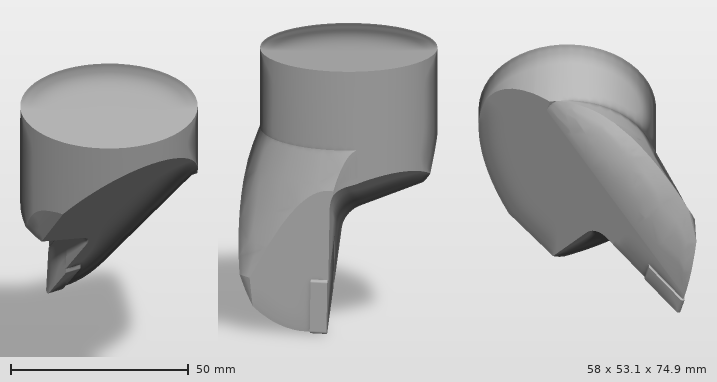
import cadquery as cq
import math

SHANK_RADIUS = 25.0
PART_HEIGHT = 74.9
FAR = 149.8

FLARE_START = 23.1
FLARE_END = 59.9
FLARE_ANGLE = math.radians(20)
HEAD_RADIUS = SHANK_RADIUS + (FLARE_END - FLARE_START) * math.tan(FLARE_ANGLE)

UNDERSIDE_ANGLE = math.radians(49.7)
UNDERSIDE_TOP = -6.6
SIDE_ANGLE = math.radians(5)
SIDE_X = -26.0

LOFT_TOP = 15.0
LOFT_BOTTOM = 97.4
BACK_START_TOP = 20.2
BACK_START_BOTTOM = 4.5
BACK_RADIUS_TOP = 5.4
BACK_RADIUS_BOTTOM = 34.1
FRONT_ROUND = ((-20.6, 0), (-23.0, 4.2), (-24.1, 7.65))
FRONT_SCALE_TOP = 1.1
FRONT_SCALE_BOTTOM = 0.93

RELIEF_TILT = 30
RELIEF_FACE_Y = -0.2
SHOULDER_ANGLE = math.radians(25.5)
SHOULDER_HEIGHT = -43.75
SHOULDER_FILLET = 7.9

BLEND_POINTS = ((-23.9, -7.3), (-26.1, -3.7), (-29.2, -1.05))

INSERT_SIDE = 16.4
INSERT_THICKNESS = 4.8
NOSE_RADIUS = 0.75
OBTUSE_RADIUS = 0.6
NOSE_CENTER = (-32.2, NOSE_RADIUS - PART_HEIGHT)


def make_shank():
    return cq.Workplane("XY").circle(SHANK_RADIUS).extrude(-PART_HEIGHT)


def make_head():
    flare = (
        cq.Workplane("XZ")
        .moveTo(0, -FLARE_START)
        .lineTo(SHANK_RADIUS, -FLARE_START)
        .lineTo(HEAD_RADIUS, -FLARE_END)
        .lineTo(HEAD_RADIUS, -PART_HEIGHT)
        .lineTo(0, -PART_HEIGHT)
        .close()
        .revolve(360, (0, 0, 0), (0, 1, 0))
    )
    shank_contact, blend_middle, outer_point = BLEND_POINTS
    front_region = (
        cq.Workplane("XY")
        .moveTo(*shank_contact)
        .threePointArc(blend_middle, outer_point)
        .lineTo(-FAR, outer_point[1])
        .lineTo(-FAR, -FAR)
        .lineTo(FAR, -FAR)
        .lineTo(FAR, 0)
        .lineTo(0, 0)
        .close()
        .extrude(-FAR)
    )
    return flare.cut(front_region)


def add_underside_profile(workplane, back_start, back_radius, front_scale):
    """Rounded profile with local x along +Y and local y up into the part."""
    back_y = back_start + back_radius
    diagonal = back_radius * math.sqrt(0.5)
    start, middle, end = [(y * front_scale, height * front_scale) for y, height in FRONT_ROUND]
    return (
        workplane.moveTo(*start)
        .lineTo(back_start, 0)
        .threePointArc((back_start + diagonal, back_radius - diagonal), (back_y, back_radius))
        .lineTo(back_y, FAR)
        .lineTo(end[0], FAR)
        .lineTo(*end)
        .threePointArc(middle, start)
        .close()
    )


def make_underside_envelope():
    """Flat underside with tapering rounded borders, lofted up the slope."""
    slope = (math.cos(UNDERSIDE_ANGLE), 0, math.sin(UNDERSIDE_ANGLE))
    plane = cq.Plane(origin=(SHANK_RADIUS, 0, UNDERSIDE_TOP), xDir=(0, 1, 0), normal=slope)
    lower_end = cq.Workplane(plane).workplane(offset=-LOFT_BOTTOM)
    lower_profile = add_underside_profile(
        lower_end, BACK_START_BOTTOM, BACK_RADIUS_BOTTOM, FRONT_SCALE_BOTTOM
    )
    upper_end = lower_profile.workplane(offset=LOFT_BOTTOM - LOFT_TOP)
    upper_profile = add_underside_profile(
        upper_end, BACK_START_TOP, BACK_RADIUS_TOP, FRONT_SCALE_TOP
    )
    return upper_profile.loft(ruled=True)


def make_shank_top():
    """Part of the shank above the flare, where the underside has no rounded border."""
    flare_x = SHANK_RADIUS - (FLARE_START + UNDERSIDE_TOP) / math.tan(UNDERSIDE_ANGLE)
    section = (
        cq.Workplane("XZ")
        .polyline([
            (-SHANK_RADIUS, 0),
            (SHANK_RADIUS, 0),
            (SHANK_RADIUS, UNDERSIDE_TOP),
            (flare_x, -FLARE_START),
            (-SHANK_RADIUS, -FLARE_START),
        ])
        .close()
        .extrude(FAR, both=True)
    )
    return make_shank().intersect(section)


def make_side_cut():
    bottom_x = SIDE_X - FAR * math.tan(SIDE_ANGLE)
    return (
        cq.Workplane("XZ")
        .polyline([(SIDE_X, 0), (bottom_x, -FAR), (-FAR, -FAR), (-FAR, 0)])
        .close()
        .extrude(FAR, both=True)
    )


def make_front_relief():
    """Shoulder, fillet and flat face swept along the tilted X direction."""
    rise = (FAR + RELIEF_FACE_Y) * math.tan(SHOULDER_ANGLE)
    relief = (
        cq.Workplane("YZ")
        .polyline([
            (RELIEF_FACE_Y, -FAR),
            (RELIEF_FACE_Y, SHOULDER_HEIGHT),
            (-FAR, SHOULDER_HEIGHT + rise),
            (-FAR, -FAR),
        ])
        .close()
        .extrude(FAR, both=True)
        .edges(cq.selectors.NearestToPointSelector((0, RELIEF_FACE_Y, SHOULDER_HEIGHT)))
        .fillet(SHOULDER_FILLET)
    )
    return relief.rotate((0, 0, 0), (0, 1, 0), RELIEF_TILT)


def make_insert(front_y, back_y):
    side = (math.sin(SIDE_ANGLE), math.cos(SIDE_ANGLE))
    bottom = (math.cos(UNDERSIDE_ANGLE), math.sin(UNDERSIDE_ANGLE))
    half_nose_angle = (math.pi / 2 - SIDE_ANGLE - UNDERSIDE_ANGLE) / 2
    bisector = SIDE_ANGLE + half_nose_angle
    tip_distance = NOSE_RADIUS / math.sin(half_nose_angle)
    tip_x = NOSE_CENTER[0] - tip_distance * math.sin(bisector)
    tip_z = NOSE_CENTER[1] - tip_distance * math.cos(bisector)

    def corner(along_side, along_bottom):
        x = tip_x + INSERT_SIDE * (along_side * side[0] + along_bottom * bottom[0])
        z = tip_z + INSERT_SIDE * (along_side * side[1] + along_bottom * bottom[1])
        return x, z

    corners = [corner(0, 0), corner(0, 1), corner(1, 1), corner(1, 0)]
    insert = (
        cq.Workplane("XZ", origin=(0, front_y, 0))
        .polyline(corners)
        .close()
        .extrude(front_y - back_y)
    )
    middle_y = (front_y + back_y) / 2
    for index, (x, z) in enumerate(corners):
        radius = NOSE_RADIUS if index % 2 == 0 else OBTUSE_RADIUS
        nearest = cq.selectors.NearestToPointSelector((x, middle_y, z))
        insert = insert.edges("|Y").edges(nearest).fillet(radius)
    return insert


body = make_shank().union(make_head())
body = body.intersect(make_underside_envelope()).union(make_shank_top())
body = body.cut(make_side_cut()).cut(make_front_relief())

body = body.cut(make_insert(2 * RELIEF_FACE_Y, 0))
result = body.union(make_insert(0, INSERT_THICKNESS))